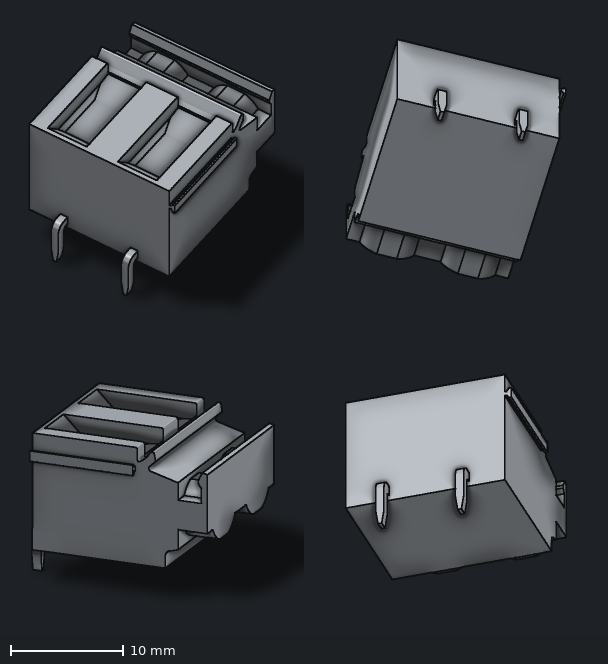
import cadquery as cq
import math

POLE_COUNT = 2
WIDTH = 15.0
POLE_PITCH = WIDTH / POLE_COUNT
DEPTH = 16.98
HEIGHT = 11.0
BLOCK_BACK = 10.2
TOP_EDGE_ROUND = 0.22

STEP_BACK = 14.13
STEP_TOP = 8.23
FOOT_BACK = 12.9
FOOT_TOP = 1.57
FOOT_ROUND = 0.55
STEP_BOTTOM = 1.92

TAB_BOTTOM = 3.81
TAB_TOP = 6.59
LIP_FRONT = 16.37
LIP_NECK_TOP = 8.01
LIP_NOSE_Y = 16.08
LIP_NOSE_BOTTOM = 8.45
LIP_NOSE_TOP = 8.73
LIP_PEAK_Y = 16.52
LIP_PEAK = 9.49
LIP_BACK_TOP = 9.36

GROOVE_WALL_Z = 9.85
GROOVE_ROUND_MIDDLE = (10.29, 9.71)
GROOVE_ROUND_END = (10.43, 9.73)
HOOK_BEND_LOW = (10.75, 9.93)
HOOK_BEND_MIDDLE = (10.82, 9.99)
HOOK_BEND_HIGH = (10.92, 10.08)
HOOK_TIP_FRONT = (11.43, 10.67)
HOOK_TIP_MIDDLE = (11.62, 10.79)
HOOK_TIP_BACK = (11.84, 10.6)
HOOK_BACK_Y = 11.91
HOOK_BACK_TOP = 10.18
HOOK_BACK_BOTTOM = 9.9
UNDERCUT_START = (11.4, 9.4)
UNDERCUT_DEEPEST = (11.3, 9.2)
UNDERCUT_END = (11.45, 8.95)

BARREL_RADIUS = 2.81
BARREL_FLAT_TOP = 7.71
BARREL_FLAT_BOTTOM = 2.4
BARREL_CENTER_Z = (BARREL_FLAT_TOP + BARREL_FLAT_BOTTOM) / 2

POCKET_WIDTH = 4.16
POCKET_FRONT = 0.5
POCKET_FLOOR = 9.12
FLOOR_WIDTH = 3.05
FLOOR_FRONT = 2.45
FLOOR_BACK = 7.22
POCKET_BACK_RISE = 0.45
POCKET_SIDE_RISE = 0.25

RAIL_PROJECTION = 0.6
RAIL_NECK_LENGTH = 0.17
RAIL_HEAD_START = 0.39
RAIL_NECK_HEIGHT = 0.43
RAIL_HEAD_HEIGHT = 0.98
RAIL_CENTER_Z = 9.01
RAIL_LENGTH = BLOCK_BACK - TOP_EDGE_ROUND

PIN_WIDTH = 0.78
PIN_REACH = 1.52
PIN_LEG_THICKNESS = 0.9
PIN_TOP = 1.39
PIN_ARM_BOTTOM = 0.54
PIN_OUTER_ROUND = 0.89
PIN_INNER_ROUND = 0.46
PIN_TAPER_START = -1.87
PIN_BOTTOM = -3.2
PIN_TIP_WIDTH = 0.35


def pole_center_x(index):
    """X position of the middle of one pole."""
    return (index + 0.5) * POLE_PITCH


def make_shell():
    """Side outline of the housing, swept across its width."""
    round_inset = TOP_EDGE_ROUND * (1 - math.sqrt(0.5))
    return (
        cq.Workplane("YZ")
        .moveTo(0, 0)
        .lineTo(0, HEIGHT)
        .lineTo(BLOCK_BACK - TOP_EDGE_ROUND, HEIGHT)
        .threePointArc(
            (BLOCK_BACK - round_inset, HEIGHT - round_inset),
            (BLOCK_BACK, HEIGHT - TOP_EDGE_ROUND),
        )
        .lineTo(BLOCK_BACK, GROOVE_WALL_Z)
        .threePointArc(GROOVE_ROUND_MIDDLE, GROOVE_ROUND_END)
        .lineTo(*HOOK_BEND_LOW)
        .threePointArc(HOOK_BEND_MIDDLE, HOOK_BEND_HIGH)
        .lineTo(*HOOK_TIP_FRONT)
        .threePointArc(HOOK_TIP_MIDDLE, HOOK_TIP_BACK)
        .lineTo(HOOK_BACK_Y, HOOK_BACK_TOP)
        .lineTo(HOOK_BACK_Y, HOOK_BACK_BOTTOM)
        .lineTo(*UNDERCUT_START)
        .threePointArc(UNDERCUT_DEEPEST, UNDERCUT_END)
        .lineTo(STEP_BACK, STEP_TOP)
        .lineTo(STEP_BACK, TAB_TOP)
        .lineTo(LIP_FRONT, TAB_TOP)
        .lineTo(LIP_FRONT, LIP_NECK_TOP)
        .lineTo(LIP_NOSE_Y, LIP_NOSE_BOTTOM)
        .lineTo(LIP_NOSE_Y, LIP_NOSE_TOP)
        .lineTo(LIP_PEAK_Y, LIP_PEAK)
        .lineTo(DEPTH, LIP_BACK_TOP)
        .lineTo(DEPTH, TAB_BOTTOM)
        .lineTo(STEP_BACK, TAB_BOTTOM)
        .lineTo(STEP_BACK, STEP_BOTTOM)
        .lineTo(FOOT_BACK, FOOT_TOP)
        .lineTo(FOOT_BACK, 0)
        .close()
        .extrude(WIDTH)
        .edges(cq.selectors.NearestToPointSelector((WIDTH / 2, FOOT_BACK, FOOT_TOP)))
        .fillet(FOOT_ROUND)
    )


def make_barrel(center_x):
    """Cylinder along Y with flats on its top and bottom, behind the middle step."""
    length = DEPTH - STEP_BACK
    cylinder = (
        cq.Workplane("XZ", origin=(center_x, DEPTH, BARREL_CENTER_Z))
        .circle(BARREL_RADIUS)
        .extrude(length)
    )
    flats = (
        cq.Workplane("XZ", origin=(center_x, DEPTH, BARREL_CENTER_Z))
        .rect(2 * BARREL_RADIUS, BARREL_FLAT_TOP - BARREL_FLAT_BOTTOM)
        .extrude(length)
    )
    return cylinder.intersect(flats)


def make_pocket(center_x):
    """Top pocket: ramps rise from a small floor to the front, to the rear and to both sides."""
    lengthwise = (
        cq.Workplane("YZ", origin=(center_x - POCKET_WIDTH / 2, 0, 0))
        .moveTo(POCKET_FRONT, HEIGHT)
        .lineTo(FLOOR_FRONT, POCKET_FLOOR)
        .lineTo(FLOOR_BACK, POCKET_FLOOR)
        .lineTo(BLOCK_BACK, POCKET_FLOOR + POCKET_BACK_RISE)
        .lineTo(BLOCK_BACK, HEIGHT)
        .close()
        .extrude(POCKET_WIDTH)
    )
    side_ramp_top = POCKET_FLOOR + POCKET_SIDE_RISE
    crosswise = (
        cq.Workplane("XZ", origin=(center_x, BLOCK_BACK, 0))
        .moveTo(-POCKET_WIDTH / 2, HEIGHT)
        .lineTo(-POCKET_WIDTH / 2, side_ramp_top)
        .lineTo(-FLOOR_WIDTH / 2, POCKET_FLOOR)
        .lineTo(FLOOR_WIDTH / 2, POCKET_FLOOR)
        .lineTo(POCKET_WIDTH / 2, side_ramp_top)
        .lineTo(POCKET_WIDTH / 2, HEIGHT)
        .close()
        .extrude(BLOCK_BACK)
    )
    return lengthwise.intersect(crosswise)


def make_rail():
    """Dovetail rail along Y: a thin neck that widens to a flat head."""
    neck = RAIL_NECK_HEIGHT / 2
    head = RAIL_HEAD_HEIGHT / 2
    return (
        cq.Workplane("XZ", origin=(WIDTH, RAIL_LENGTH, RAIL_CENTER_Z))
        .moveTo(0, -neck)
        .lineTo(RAIL_NECK_LENGTH, -neck)
        .lineTo(RAIL_HEAD_START, -head)
        .lineTo(RAIL_PROJECTION, -head)
        .lineTo(RAIL_PROJECTION, head)
        .lineTo(RAIL_HEAD_START, head)
        .lineTo(RAIL_NECK_LENGTH, neck)
        .lineTo(0, neck)
        .close()
        .extrude(RAIL_LENGTH)
    )


def make_housing():
    """The complete housing as one solid."""
    housing = make_shell().union(make_rail())
    for index in range(POLE_COUNT):
        housing = housing.union(make_barrel(pole_center_x(index)))
        housing = housing.cut(make_pocket(pole_center_x(index)))
    return housing


def make_pin(center_x):
    """Bent pin that leaves the front face, turns down and tapers to its tip."""
    leg_back = PIN_LEG_THICKNESS - PIN_REACH
    bend = (
        cq.Workplane("YZ", origin=(center_x - PIN_WIDTH / 2, 0, 0))
        .moveTo(0, PIN_TOP)
        .lineTo(-PIN_REACH, PIN_TOP)
        .lineTo(-PIN_REACH, PIN_BOTTOM)
        .lineTo(leg_back, PIN_BOTTOM)
        .lineTo(leg_back, PIN_ARM_BOTTOM)
        .lineTo(0, PIN_ARM_BOTTOM)
        .close()
        .extrude(PIN_WIDTH)
        .edges(cq.selectors.NearestToPointSelector((center_x, -PIN_REACH, PIN_TOP)))
        .fillet(PIN_OUTER_ROUND)
        .edges(cq.selectors.NearestToPointSelector((center_x, leg_back, PIN_ARM_BOTTOM)))
        .fillet(PIN_INNER_ROUND)
    )
    tapered_front = (
        cq.Workplane("XZ", origin=(center_x, 0, 0))
        .moveTo(-PIN_WIDTH / 2, PIN_TOP)
        .lineTo(-PIN_WIDTH / 2, PIN_TAPER_START)
        .lineTo(-PIN_TIP_WIDTH / 2, PIN_BOTTOM)
        .lineTo(PIN_TIP_WIDTH / 2, PIN_BOTTOM)
        .lineTo(PIN_WIDTH / 2, PIN_TAPER_START)
        .lineTo(PIN_WIDTH / 2, PIN_TOP)
        .close()
        .extrude(PIN_REACH)
    )
    return bend.intersect(tapered_front)


housing = make_housing()
pins = [make_pin(pole_center_x(index)) for index in range(POLE_COUNT)]

result = cq.Compound.makeCompound([housing.val(), *[pin.val() for pin in pins]])